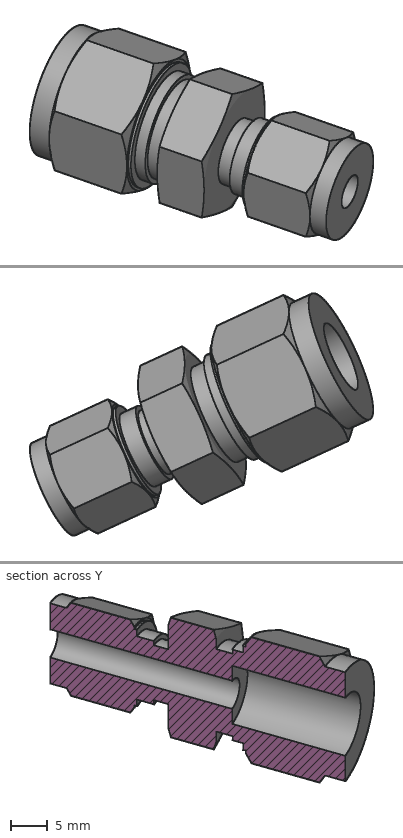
import cadquery as cq
import math


length = 44.5
large_collar_end = 3.03
large_nut_end = 15.05
large_ring_end = 15.45
large_thread_end = 17.05
body_hex_start = 19.45
body_hex_end = 26.7
small_thread_start = 28.85
small_ring_start = 31.37
small_nut_start = 31.77
small_collar_start = 42.0

large_nut_flats = 19.0
body_hex_flats = 18.02
small_nut_flats = 14.0

large_ring_diameter = 18.15
large_thread_diameter = 15.85
large_neck_diameter = 14.4
small_neck_diameter = 9.6
small_thread_diameter = 11.1
small_ring_diameter = 13.35

tube_socket_diameter = 10.0
tube_socket_depth = large_thread_end
through_bore_diameter = 4.8

nut_chamfer_angle = 30.0
body_chamfer_angle = 15.0


def cylinder(start, end, diameter):
    """Round stretch along X between two stations."""
    return cq.Workplane("YZ", origin=(start, 0, 0)).circle(diameter / 2).extrude(end - start)


def chamfered_hexagon(start, end, across_flats, chamfer_angle):
    """Hexagon along X with corners on the Z axis, turned down conically at both ends."""
    flat_radius = across_flats / 2
    corner_radius = flat_radius / math.cos(math.radians(30))
    chamfer_length = (corner_radius - flat_radius) * math.tan(math.radians(chamfer_angle))

    hexagon = (
        cq.Workplane("YZ", origin=(start, 0, 0))
        .transformed(rotate=(0, 0, 90))
        .polygon(6, 2 * corner_radius)
        .extrude(end - start)
    )
    turned_envelope = (
        cq.Workplane("XY")
        .moveTo(start, 0)
        .lineTo(start, flat_radius)
        .lineTo(start + chamfer_length, corner_radius)
        .lineTo(end - chamfer_length, corner_radius)
        .lineTo(end, flat_radius)
        .lineTo(end, 0)
        .close()
        .revolve(360, (0, 0, 0), (1, 0, 0))
    )
    return hexagon.intersect(turned_envelope)


stretches = [
    cylinder(0, large_collar_end, large_nut_flats),
    chamfered_hexagon(large_collar_end, large_nut_end, large_nut_flats, nut_chamfer_angle),
    cylinder(large_nut_end, large_ring_end, large_ring_diameter),
    cylinder(large_ring_end, large_thread_end, large_thread_diameter),
    cylinder(large_thread_end, body_hex_start, large_neck_diameter),
    chamfered_hexagon(body_hex_start, body_hex_end, body_hex_flats, body_chamfer_angle),
    cylinder(body_hex_end, small_thread_start, small_neck_diameter),
    cylinder(small_thread_start, small_ring_start, small_thread_diameter),
    cylinder(small_ring_start, small_nut_start, small_ring_diameter),
    chamfered_hexagon(small_nut_start, small_collar_start, small_nut_flats, nut_chamfer_angle),
    cylinder(small_collar_start, length, small_nut_flats),
]

fitting = stretches[0]
for stretch in stretches[1:]:
    fitting = fitting.union(stretch)

result = fitting.cut(cylinder(0, tube_socket_depth, tube_socket_diameter))
result = result.cut(cylinder(0, length, through_bore_diameter))